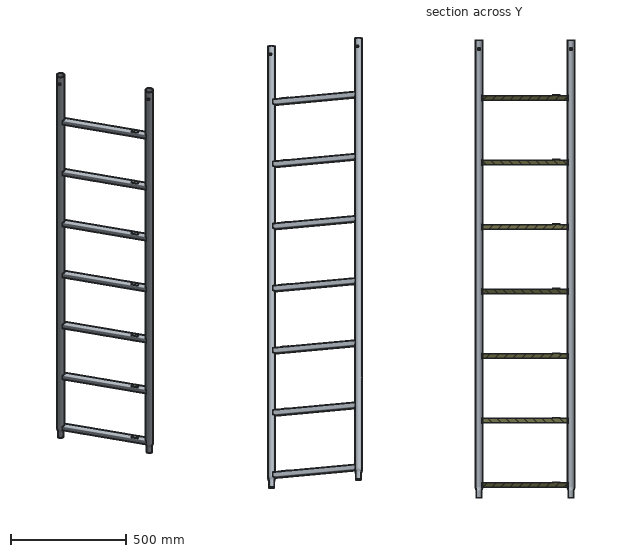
import cadquery as cq

total_height = 1986.0
rail_diameter = 34.0
rail_spacing = 400.0
rail_radius = rail_diameter / 2
rail_offset = rail_spacing / 2

wall = 2.0
spigot_diameter = 25.0
spigot_radius = spigot_diameter / 2
spigot_length = 30.0
swage_height = 18.0
swage_top = spigot_length + swage_height
pin_hole_diameter = 10.0
pin_hole_drop = 38.0

rung_count = 7
rung_pitch = 280.0
rung_depth = 25.0
rung_half_height = 11.3
rung_height = 2 * rung_half_height
rung_corner_radius = 3.0
first_rung_bottom = 44.0
first_rung_z = first_rung_bottom + rung_half_height
pad_length = 30.0
pad_width = 15.0
pad_height = 2.0
pad_x = 135.0


def revolve_rail(inset):
    """Solid of revolution of the rail's outer shape, reduced in radius by inset."""
    spigot_r = spigot_radius - inset
    rail_r = rail_radius - inset
    swage_middle = ((spigot_r + rail_r) / 2, spigot_length + swage_height / 2)
    half_section = (
        cq.Workplane("XZ")
        .lineTo(spigot_r, 0)
        .lineTo(spigot_r, spigot_length)
        .tangentArcPoint(swage_middle, relative=False)
        .tangentArcPoint((rail_r, swage_top), relative=False)
        .lineTo(rail_r, total_height)
        .lineTo(0, total_height)
        .close()
    )
    return half_section.revolve(360, (0, 0), (0, 1))


def make_rail(x):
    """Swaged tube of even wall, with a pin hole through both walls near the top."""
    pin_hole = (
        cq.Workplane("XZ")
        .center(0, total_height - pin_hole_drop)
        .circle(pin_hole_diameter / 2)
        .extrude(rail_diameter, both=True)
    )
    rail = revolve_rail(0).cut(revolve_rail(wall)).cut(pin_hole)
    return rail.translate((x, 0, 0))


def make_rung(z):
    """Rounded bar with a raised pad on top, its ends coped to fit against the rails."""
    bar = cq.Workplane("XY").box(rail_spacing, rung_depth, rung_height)
    bar = bar.edges("|X").fillet(rung_corner_radius)
    pad = (
        cq.Workplane("XY")
        .workplane(offset=rung_half_height)
        .center(pad_x, 0)
        .rect(pad_length, pad_width)
        .extrude(pad_height)
    )
    copes = (
        cq.Workplane("XY")
        .pushPoints([(-rail_offset, 0), (rail_offset, 0)])
        .circle(rail_radius)
        .extrude(rung_height, both=True)
    )
    return bar.union(pad).cut(copes).translate((0, 0, z))


rails = [make_rail(x) for x in (-rail_offset, rail_offset)]
rungs = [make_rung(first_rung_z + i * rung_pitch) for i in range(rung_count)]
result = cq.Compound.makeCompound([body.solids().val() for body in rails + rungs])